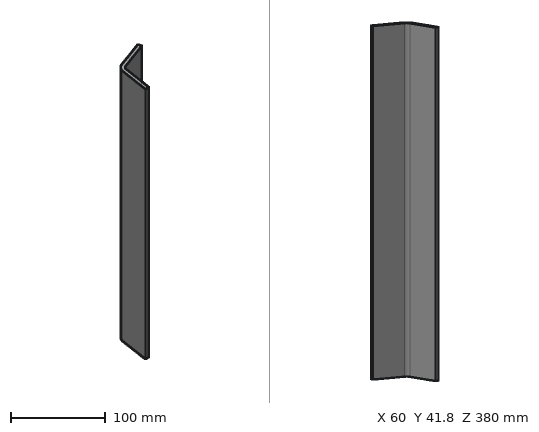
import cadquery as cq
import math

length = 380.0
width_x = 60.0
depth_y = 41.8
thickness = 5.0
inner_radius = 5.0
bend_angle = 68.0

outer_radius = inner_radius + thickness
turn = math.radians(bend_angle)

along = (-math.cos(turn), math.sin(turn))
outward = (-math.sin(turn), -math.cos(turn))

raised_length = (depth_y - outer_radius - inner_radius * outward[1]) / along[1]
left_edge = outer_radius * outward[0] + raised_length * along[0]
flat_length = width_x + left_edge


def on_bend(radius, angle):
    """Point on the bend, turned by angle from the flat flange."""
    return (-radius * math.sin(angle), -radius * math.cos(angle))


def flange_tip(radius):
    """Corner at the free end of the raised flange."""
    x, y = on_bend(radius, turn)
    return (x + raised_length * along[0], y + raised_length * along[1])


profile = (
    cq.Workplane("XY")
    .moveTo(flat_length, -outer_radius)
    .lineTo(*on_bend(outer_radius, 0))
    .threePointArc(on_bend(outer_radius, turn / 2), on_bend(outer_radius, turn))
    .lineTo(*flange_tip(outer_radius))
    .lineTo(*flange_tip(inner_radius))
    .lineTo(*on_bend(inner_radius, turn))
    .threePointArc(on_bend(inner_radius, turn / 2), on_bend(inner_radius, 0))
    .lineTo(flat_length, -inner_radius)
    .close()
)

result = profile.extrude(length)